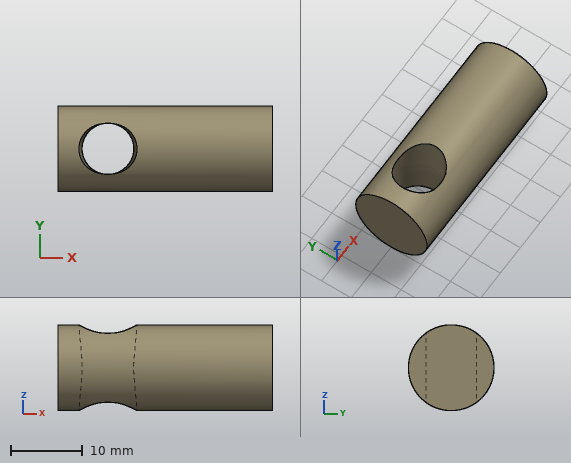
import cadquery as cq

pin_length = 30.0
pin_diameter = 12.0

hole_position = 7.0
slot_width = 7.1
slot_length = 7.2

relief_diameter = 7.05
relief_angle = 5.0

cutter_reach = pin_diameter


def make_pin():
    """Plain round bar starting at the origin."""
    return cq.Workplane("YZ").circle(pin_diameter / 2).extrude(pin_length)


def make_slot():
    """Straight cutter through the pin axis, long side along X."""
    slot = cq.Workplane("XY").slot2D(slot_length, slot_width)
    return slot.extrude(cutter_reach, both=True)


def make_relief(lean):
    """Round cutter through the pin axis, leaned by an angle in degrees about Y."""
    bore = cq.Workplane("XY").circle(relief_diameter / 2).extrude(cutter_reach, both=True)
    return bore.rotate((0, 0, 0), (0, 1, 0), lean)


hole_cutters = [make_slot(), make_relief(-relief_angle), make_relief(relief_angle)]

result = make_pin()
for cutter in hole_cutters:
    result = result.cut(cutter.translate((hole_position, 0, 0)))